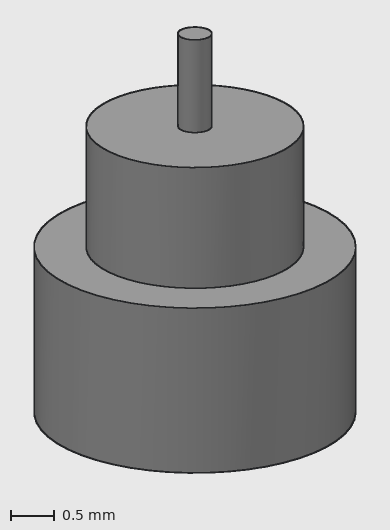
import cadquery as cq

total_height = 4.7
base_diameter = 3.7
base_height = 2.05
collar_diameter = 2.5
collar_height = 1.5
pin_diameter = 0.39

base_radius = base_diameter / 2
collar_radius = collar_diameter / 2
pin_radius = pin_diameter / 2
collar_top = base_height + collar_height

half_section = [
    (0, 0),
    (-base_radius, 0),
    (-base_radius, base_height),
    (-collar_radius, base_height),
    (-collar_radius, collar_top),
    (-pin_radius, collar_top),
    (-pin_radius, total_height),
    (0, total_height),
]

axis_start = (0, 0)
axis_end = (0, 1)
result = (
    cq.Workplane("XZ")
    .polyline(half_section)
    .close()
    .revolve(360, axis_start, axis_end)
)